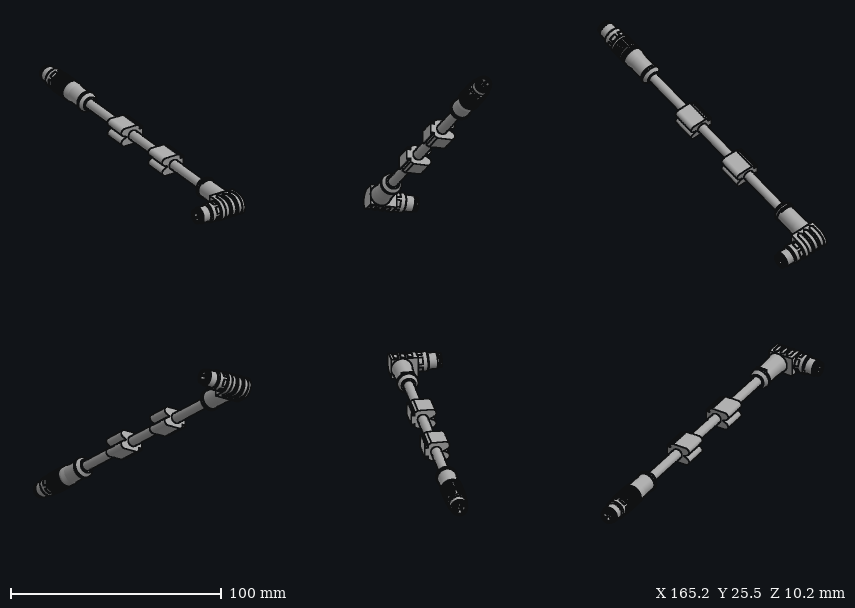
import cadquery as cq

total_length = 165.2
cable_diameter = 5.1
body_diameter = 10.2
body_radius = body_diameter / 2
cut_margin = 1.7

tip_diameter = 7.0
tip_groove_diameter = 6.5
tip_groove_start = 1.2
tip_length = 2.1
sleeve_diameter = 8.1
sleeve_end = 6.5
neck_groove_diameter = 7.0
neck_start = 7.0
neck_diameter = 9.5
window_start = 9.4
neck_end = 11.5
rear_groove_diameter = 8.3
head_length = 12.0
window_count = 6
window_width = 3.3
window_floor_radius = 4.3
mouth_diameter = 6.0
mouth_depth = 0.8
bore_diameter = 5.1
bore_depth = 5.0
pin_diameter = 0.8
pin_offset = 1.2
pin_recess = 1.0
pin_root = 0.8

grip_grooves = ((14.0, 0.3), (15.5, 0.3), (17.0, 0.3), (18.5, 0.3), (20.3, 0.7), (21.8, 0.7))
grip_groove_depth = 0.2
grip_chamfer = 0.3
grip_end = 24.0
shank_start = 26.5
shank_diameter = 9.2
rib_start = 14.0
rib_length = 7.6
rib_width = 1.2

collar_width = 1.3
collar_cone_length = 2.0
collar_mouth_diameter = 7.0
straight_collar_start = 34.8
angled_collar_end = 139.2

housing_start = 154.3
housing_top = 5.0
housing_bottom = -8.1
head_axis_x = total_length - body_radius
head_overlap = 0.2
head_tip_y = housing_bottom - head_length + head_overlap
shank_taper_start = 147.8
flute_places = (2.3, -1.2, -4.6)
flute_width = 2.3
flute_depth = 0.5
flute_tip_x = 155.2
tab_length = 0.8
tab_width = 5.5
tab_height = 5.0

clip_length = 12.2
clip_starts = (63.3, 98.6)
clip_half_height = 4.8
lobe_front = -6.6
lobe_z = 2.8
lobe_y = -4.6
mouth_y = -5.6
mouth_half_height = 1.0
mouth_bottom_y = -3.6
clip_flat_end = 2.3
clip_neck_y = 3.8
clip_shoulder_half_height = 4.0
clip_neck_half_height = 2.3
foot_y = 5.0
foot_half_height = 3.5
clip_back = 5.6


def turned(points):
    """Solid of revolution about X from (x, radius) points."""
    outline = [(points[0][0], 0)] + points + [(points[-1][0], 0)]
    return cq.Workplane("XY").polyline(outline).close().revolve(360, (0, 0, 0), (1, 0, 0))


def rod(start, end, diameter, y=0, z=0):
    """Round rod parallel to X."""
    return cq.Workplane("YZ", origin=(start, y, z)).circle(diameter / 2).extrude(end - start)


def plug_head():
    """Plug head along +X with its tip at the origin; one window faces -Y."""
    head = turned(
        [
            (0, tip_diameter / 2),
            (tip_groove_start, tip_diameter / 2),
            (tip_groove_start, tip_groove_diameter / 2),
            (tip_length, tip_groove_diameter / 2),
            (tip_length, sleeve_diameter / 2),
            (sleeve_end, sleeve_diameter / 2),
            (sleeve_end, neck_groove_diameter / 2),
            (neck_start, neck_groove_diameter / 2),
            (neck_start, neck_diameter / 2),
            (neck_end, neck_diameter / 2),
            (neck_end, rear_groove_diameter / 2),
            (head_length, rear_groove_diameter / 2),
        ]
    )
    window = (
        cq.Workplane("XZ", origin=((window_start + neck_end) / 2, -window_floor_radius, 0))
        .rect(neck_end - window_start, window_width)
        .extrude(neck_diameter)
    )
    for index in range(window_count):
        head = head.cut(window.rotate((0, 0, 0), (1, 0, 0), index * 360 / window_count))
    head = head.cut(rod(0, mouth_depth, mouth_diameter)).cut(rod(0, bore_depth, bore_diameter))
    for y in (-pin_offset, pin_offset):
        for z in (-pin_offset, pin_offset):
            head = head.union(rod(pin_recess, bore_depth + pin_root, pin_diameter, y, z))
    return head


def straight_plug():
    """Grooved grip, tapered shank and collar behind the head, with a plain rib on top."""
    collar_end = straight_collar_start + collar_width
    body = turned(
        [
            (head_length, body_radius - grip_chamfer),
            (head_length + grip_chamfer, body_radius),
            (grip_end, body_radius),
            (shank_start, shank_diameter / 2),
            (straight_collar_start, shank_diameter / 2),
            (straight_collar_start, body_radius),
            (collar_end, body_radius),
            (collar_end + collar_cone_length, collar_mouth_diameter / 2),
        ]
    )
    for place, width in grip_grooves:
        ring = rod(place - width / 2, place + width / 2, body_diameter + cut_margin)
        core = rod(place - cut_margin, place + cut_margin, body_diameter - 2 * grip_groove_depth)
        body = body.cut(ring.cut(core))
    rib = cq.Workplane("XY").box(rib_length, rib_width, body_radius, centered=(False, True, False))
    return body.union(rib.translate((rib_start, 0, 0))).union(plug_head())


def angled_shank():
    """Collar with a top tab and the shank that widens into the housing."""
    collar_start = angled_collar_end - collar_width
    shank = turned(
        [
            (collar_start - collar_cone_length, collar_mouth_diameter / 2),
            (collar_start, body_radius),
            (angled_collar_end, body_radius),
            (angled_collar_end, shank_diameter / 2),
            (shank_taper_start, shank_diameter / 2),
            (housing_start, body_radius),
        ]
    )
    tab = cq.Workplane("XY").box(tab_length, tab_width, tab_height, centered=(False, True, False))
    return shank.union(tab.translate((angled_collar_end, 0, 0)))


def housing_outline(offset):
    """D-shaped XZ outline, shrunk by an offset."""
    half = body_radius - offset
    return (
        cq.Workplane("XZ", origin=(0, housing_top, 0))
        .moveTo(housing_start, -half)
        .lineTo(head_axis_x, -half)
        .threePointArc((head_axis_x + half, 0), (head_axis_x, half))
        .lineTo(housing_start, half)
        .close()
    )


def housing():
    """Housing with flutes wrapped around its D outline and a plug head pointing to -Y."""
    height = housing_top - housing_bottom
    body = housing_outline(0).extrude(height)
    core = housing_outline(flute_depth).extrude(height)
    for place in flute_places:
        flute = (
            cq.Workplane("XY", origin=(0, 0, -body_diameter))
            .moveTo(flute_tip_x, place)
            .lineTo(flute_tip_x + flute_width / 2, place + flute_width / 2)
            .lineTo(total_length + cut_margin, place + flute_width / 2)
            .lineTo(total_length + cut_margin, place - flute_width / 2)
            .lineTo(flute_tip_x + flute_width / 2, place - flute_width / 2)
            .close()
            .extrude(2 * body_diameter)
        )
        body = body.cut(flute.cut(core))
    head = plug_head().rotate((0, 0, 0), (1, 0, 0), -90)
    head = head.rotate((0, 0, 0), (0, 0, 1), 90).translate((head_axis_x, head_tip_y, 0))
    return body.union(head)


def clip(start):
    """Clip with two rounded lobes beside a V mouth on -Y and a grooved foot on +Y."""
    corner = clip_back - foot_y
    return (
        cq.Workplane("YZ", origin=(start, 0, 0))
        .moveTo(mouth_bottom_y, 0)
        .lineTo(mouth_y, mouth_half_height)
        .threePointArc((lobe_front, lobe_z), (lobe_y, clip_half_height))
        .lineTo(clip_flat_end, clip_half_height)
        .lineTo(clip_neck_y, clip_shoulder_half_height)
        .lineTo(clip_neck_y, clip_neck_half_height)
        .lineTo(foot_y, clip_neck_half_height)
        .lineTo(foot_y, foot_half_height)
        .radiusArc((clip_back, foot_half_height - corner), corner)
        .lineTo(clip_back, corner - foot_half_height)
        .radiusArc((foot_y, -foot_half_height), corner)
        .lineTo(foot_y, -clip_neck_half_height)
        .lineTo(clip_neck_y, -clip_neck_half_height)
        .lineTo(clip_neck_y, -clip_shoulder_half_height)
        .lineTo(clip_flat_end, -clip_half_height)
        .lineTo(lobe_y, -clip_half_height)
        .threePointArc((lobe_front, -lobe_z), (mouth_y, -mouth_half_height))
        .close()
        .extrude(clip_length)
    )


result = rod(straight_collar_start, angled_collar_end, cable_diameter)
for part in (straight_plug(), angled_shank(), housing()):
    result = result.union(part)
for start in clip_starts:
    result = result.union(clip(start))